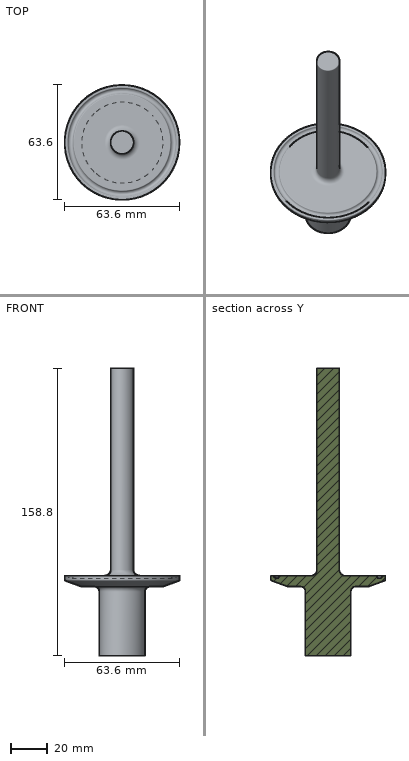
import cadquery as cq
import math

total_height = 158.8
flange_bottom = 38.1
flange_top = 44.3

stem_radius = 12.7
rod_radius = 6.4
flange_radius = 31.8
flange_base_radius = 22.4

cone_angle = 20.0
rim_round = 0.8
rim_top_round = 0.5
groove_center_radius = 28.4
groove_radius = 1.6
groove_depth = 1.5
groove_lip_round = 0.5

stem_fillet = 2.5
rod_fillet = 3.2
end_round = 0.5


slope = math.radians(cone_angle)
cone_top = flange_bottom + (flange_radius - flange_base_radius) * math.tan(slope)
rim_setback = rim_round * math.tan((math.pi / 2 - slope) / 2)

groove_center_height = flange_top - groove_depth + groove_radius
center_distance = groove_radius + groove_lip_round
lip_center_drop = groove_center_height - (flange_top - groove_lip_round)
lip_offset = math.sqrt(center_distance**2 - lip_center_drop**2)
contact_share = groove_radius / center_distance
contact_offset = lip_offset * contact_share
contact_height = groove_center_height - lip_center_drop * contact_share


def add_stem(profile):
    """Lower stem, from the axis up to the fillet under the flange."""
    return (
        profile.lineTo(stem_radius - end_round, 0)
        .tangentArcPoint((stem_radius, end_round), relative=False)
        .lineTo(stem_radius, flange_bottom - stem_fillet)
        .tangentArcPoint((stem_radius + stem_fillet, flange_bottom), relative=False)
    )


def add_flange_rim(profile):
    """Flat and conical underside, then the rounded rim."""
    cone_end = (
        flange_radius - rim_setback * math.cos(slope),
        cone_top - rim_setback * math.sin(slope),
    )
    return (
        profile.lineTo(flange_base_radius, flange_bottom)
        .lineTo(*cone_end)
        .tangentArcPoint((flange_radius, cone_top + rim_setback), relative=False)
        .lineTo(flange_radius, flange_top - rim_top_round)
        .tangentArcPoint((flange_radius - rim_top_round, flange_top), relative=False)
    )


def add_gasket_groove(profile):
    """Shallow round groove with rounded lips, from the outer lip inward."""
    return (
        profile.lineTo(groove_center_radius + lip_offset, flange_top)
        .tangentArcPoint((groove_center_radius + contact_offset, contact_height), relative=False)
        .tangentArcPoint((groove_center_radius - contact_offset, contact_height), relative=False)
        .tangentArcPoint((groove_center_radius - lip_offset, flange_top), relative=False)
    )


def add_rod(profile):
    """Upper rod with its base fillet and rounded tip, back to the axis."""
    return (
        profile.lineTo(rod_radius + rod_fillet, flange_top)
        .tangentArcPoint((rod_radius, flange_top + rod_fillet), relative=False)
        .lineTo(rod_radius, total_height - end_round)
        .tangentArcPoint((rod_radius - end_round, total_height), relative=False)
        .lineTo(0, total_height)
    )


half_profile = cq.Workplane("XZ").moveTo(0, 0)
for add_section in (add_stem, add_flange_rim, add_gasket_groove, add_rod):
    half_profile = add_section(half_profile)
result = half_profile.close().revolve(360, (0, 0, 0), (0, 1, 0))